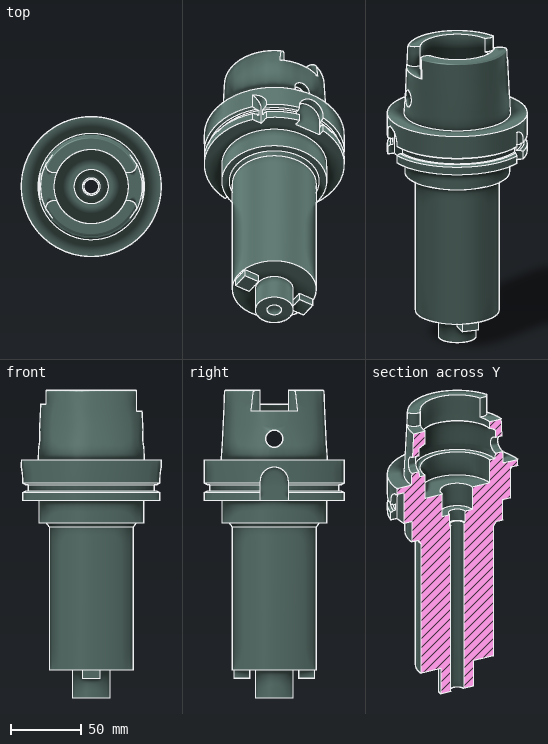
import cadquery as cq

overall_length = 220.0
shank_length = 50.0
flange_height = 29.0
collar_height = 16.0
pilot_length = 20.0

flange_bottom = -flange_height
collar_bottom = flange_bottom - collar_height
tip_z = shank_length - overall_length
body_bottom = tip_z + pilot_length

shank_top_diameter = 71.3
shank_base_diameter = 76.1
flange_diameter = 100.0
collar_diameter = 75.0
body_diameter = 60.0
pilot_diameter = 27.0

shank_rim_radius = 1.65
collar_step_diameter = 64.2
neck_height = 2.9

groove_top = -16.5
groove_mouth_height = 6.8
groove_lip_height = 1.2
groove_lip_depth = 2.2
groove_depth = 4.0

mouth_diameter = 53.0
mouth_depth = 20.2
chamber_diameter = 63.0
chamber_bevel_height = 2.6
chamber_straight_depth = 40.7
chamber_depth = 44.9
chamber_taper = 0.77
lower_bore_depth = 63.0
tube_seat_diameter = 24.5
tube_seat_depth = 17.5
coolant_step_diameter = 12.5
coolant_step_depth = 8.8
coolant_diameter = 10.3

cross_hole_diameter = 12.0
cross_hole_z = 15.2

drive_slot_width = 20.0
drive_slot_flare_x = 32.3
drive_slot_corner_radius = 5.3
drive_slot_depth_left = 10.1
drive_slot_depth_right = 15.0

keyway_width = 20.0
keyway_top = -5.0
keyway_floor_x = 44.0
notch_face_x = 31.7
notch_inner_y = 31.5

key_width = 12.3
key_height = 6.0
key_inner_y = 17.4
key_outer_y = 28.8


def turned_outside():
    """Solid of revolution with every outer diameter and the groove."""
    flange_r = flange_diameter / 2
    lip_r = flange_r - groove_lip_depth
    floor_r = flange_r - groove_depth
    groove_bottom = groove_top - groove_mouth_height
    profile = [
        (0, shank_length),
        (shank_top_diameter / 2, shank_length),
        (shank_base_diameter / 2, 0),
        (flange_r, 0),
        (flange_r, groove_top),
        (lip_r, groove_top - groove_lip_height),
        (floor_r, groove_top - groove_lip_height),
        (floor_r, groove_bottom + groove_lip_height),
        (lip_r, groove_bottom + groove_lip_height),
        (flange_r, groove_bottom),
        (flange_r, flange_bottom),
        (collar_diameter / 2, flange_bottom),
        (collar_diameter / 2, collar_bottom),
        (collar_step_diameter / 2, collar_bottom),
        (body_diameter / 2, collar_bottom - neck_height),
        (body_diameter / 2, body_bottom),
        (pilot_diameter / 2, body_bottom),
        (pilot_diameter / 2, tip_z),
        (0, tip_z),
    ]
    solid = cq.Workplane("XZ").polyline(profile).close().revolve(360, (0, 0), (0, 1))
    return solid.faces(">Z").edges().fillet(shank_rim_radius)


def stepped_bore():
    """Clamping bore, coolant tube seat and coolant passage as one cutter."""
    mouth_bottom = shank_length - mouth_depth
    chamber_bottom = shank_length - chamber_depth
    lower_bottom = shank_length - lower_bore_depth
    seat_bottom = lower_bottom - tube_seat_depth
    step_bottom = seat_bottom - coolant_step_depth
    profile = [
        (0, shank_length),
        (mouth_diameter / 2, shank_length),
        (mouth_diameter / 2, mouth_bottom),
        (chamber_diameter / 2, mouth_bottom - chamber_bevel_height),
        (chamber_diameter / 2, shank_length - chamber_straight_depth),
        (chamber_diameter / 2 - chamber_taper, chamber_bottom),
        (mouth_diameter / 2, chamber_bottom),
        (mouth_diameter / 2, lower_bottom),
        (tube_seat_diameter / 2, lower_bottom),
        (tube_seat_diameter / 2, seat_bottom),
        (coolant_step_diameter / 2, seat_bottom),
        (coolant_step_diameter / 2, step_bottom),
        (coolant_diameter / 2, step_bottom),
        (coolant_diameter / 2, tip_z),
        (0, tip_z),
    ]
    return cq.Workplane("XZ").polyline(profile).close().revolve(360, (0, 0), (0, 1))


def cross_hole():
    return (
        cq.Workplane("YZ")
        .center(0, cross_hole_z)
        .circle(cross_hole_diameter / 2)
        .extrude(shank_base_diameter / 2, both=True)
    )


def drive_slot(side, depth):
    """Slot from the bore outwards (side = +1 or -1 in X), flared by rounded corners."""
    half_width = drive_slot_width / 2
    radius = drive_slot_corner_radius
    outer_x = shank_base_diameter / 2
    corner_x = drive_slot_flare_x - radius
    return (
        cq.Workplane("XY", origin=(0, 0, shank_length - depth))
        .moveTo(0, -half_width)
        .lineTo(side * corner_x, -half_width)
        .radiusArc((side * drive_slot_flare_x, -half_width - radius), side * radius)
        .lineTo(side * drive_slot_flare_x, -outer_x)
        .lineTo(side * outer_x, -outer_x)
        .lineTo(side * outer_x, outer_x)
        .lineTo(side * drive_slot_flare_x, outer_x)
        .lineTo(side * drive_slot_flare_x, half_width + radius)
        .radiusArc((side * corner_x, half_width), side * radius)
        .lineTo(0, half_width)
        .close()
        .extrude(depth)
    )


def flange_cut(side, center_y, floor_x):
    """Round-topped cut through the flange, open downwards and outwards in X."""
    half_width = keyway_width / 2
    spring_z = keyway_top - half_width
    depth = flange_diameter / 2 - floor_x
    return (
        cq.Workplane("YZ", origin=(side * floor_x, center_y, 0))
        .moveTo(-half_width, flange_bottom)
        .lineTo(-half_width, spring_z)
        .threePointArc((0, keyway_top), (half_width, spring_z))
        .lineTo(half_width, flange_bottom)
        .close()
        .extrude(side * depth)
    )


def driving_key(side):
    key_length = key_outer_y - key_inner_y
    center_y = side * (key_inner_y + key_outer_y) / 2
    return (
        cq.Workplane("XY", origin=(0, center_y, body_bottom))
        .rect(key_width, key_length)
        .extrude(-key_height)
    )


result = turned_outside().cut(stepped_bore()).cut(cross_hole())

result = result.cut(drive_slot(-1, drive_slot_depth_left))
result = result.cut(drive_slot(1, drive_slot_depth_right))

for side in (-1, 1):
    result = result.cut(flange_cut(side, 0, keyway_floor_x))
    result = result.union(driving_key(side))

notch_center_y = notch_inner_y + keyway_width / 2
result = result.cut(flange_cut(-1, notch_center_y, notch_face_x))